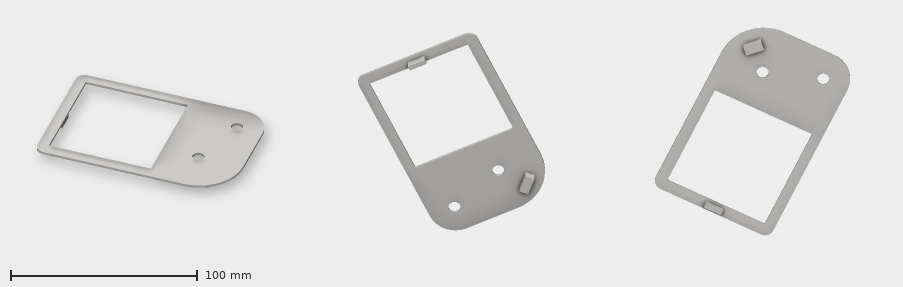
import cadquery as cq

PLATE_LENGTH = 110.0
PLATE_WIDTH = 70.0
PLATE_THICKNESS = 1.5
LEFT_CORNER_RADIUS = 5.0
BACK_RIGHT_RADIUS = 15.0
FRONT_RIGHT_RADIUS = 25.0

WINDOW_SIDE = 58.0
LEFT_BORDER = 6.1
FRONT_BORDER = 6.3

HOLE_DIAMETER = 6.5
HOLE_CENTRES = [(95.25, 55.65), (84.4, 24.75)]

FOOT_HEIGHT = 5.0
FOOT_LENGTH = 10.0
EDGE_FOOT_THICKNESS = 2.5
EDGE_FOOT_CENTRE = (3.75, PLATE_WIDTH / 2)
CORNER_FOOT_THICKNESS = 5.0
CORNER_FOOT_CENTRE = (96.55, 13.5)
CORNER_FOOT_ANGLE = 45.0


def make_plate():
    """Flat plate with a separate radius for the left, back right and front right corners."""
    plate = cq.Workplane("XY").box(PLATE_LENGTH, PLATE_WIDTH, PLATE_THICKNESS, centered=False)
    plate = plate.edges("|Z and <X").fillet(LEFT_CORNER_RADIUS)
    plate = plate.edges("|Z").edges(">(1, 1, 0)").fillet(BACK_RIGHT_RADIUS)
    return plate.edges("|Z").edges(">(1, -1, 0)").fillet(FRONT_RIGHT_RADIUS)


def make_window():
    """Cutter for the square window."""
    window = cq.Workplane("XY").box(WINDOW_SIDE, WINDOW_SIDE, PLATE_THICKNESS, centered=False)
    return window.translate((LEFT_BORDER, FRONT_BORDER, 0))


def make_holes():
    """Cutter for the round through holes."""
    return cq.Workplane("XY").pushPoints(HOLE_CENTRES).circle(HOLE_DIAMETER / 2).extrude(PLATE_THICKNESS)


def make_foot(size_x, size_y, centre, angle=0.0):
    """Rectangular foot hanging from the underside, turned about its own vertical axis."""
    foot = cq.Workplane("XY").rect(size_x, size_y).extrude(-FOOT_HEIGHT)
    foot = foot.rotate((0, 0, 0), (0, 0, 1), angle)
    return foot.translate((*centre, 0))


edge_foot = make_foot(EDGE_FOOT_THICKNESS, FOOT_LENGTH, EDGE_FOOT_CENTRE)
corner_foot = make_foot(FOOT_LENGTH, CORNER_FOOT_THICKNESS, CORNER_FOOT_CENTRE, CORNER_FOOT_ANGLE)

result = make_plate().cut(make_window()).cut(make_holes()).union(edge_foot).union(corner_foot)